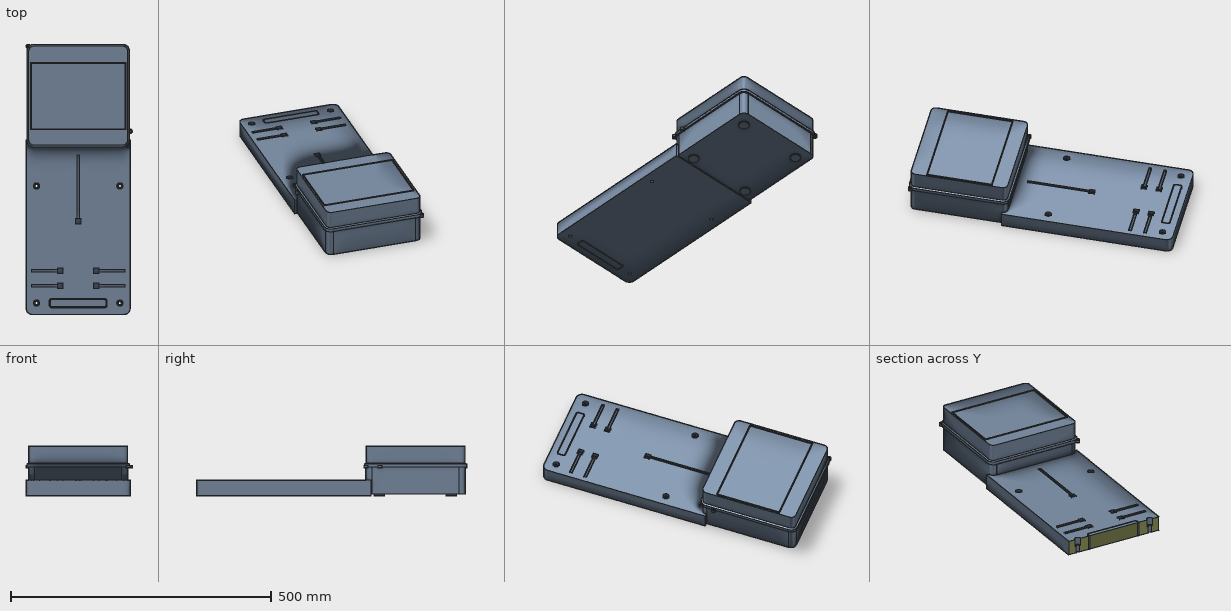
import cadquery as cq

BASE_WIDTH = 200.0
BASE_LENGTH = 335.0
BASE_HEIGHT = 30.0
BASE_CORNER_RADIUS = 12.0

MOUNT_INSET_X = 20.0
MOUNT_FRONT_Y = 22.0
MOUNT_SPACING_Y = 225.0
MOUNT_HOLE_DIAMETER = 6.0
MOUNT_BORE_DIAMETER = 12.0
MOUNT_BORE_DEPTH = 15.0

SLOT_WIDTH = 5.0
SLOT_HEAD = 10.5
SLOT_DEPTH = 4.0
SLOT_HEAD_DEPTH = 10.0
SIDE_SLOT_LENGTH = 60.0
SIDE_SLOT_INSET = 10.5
SIDE_SLOT_ROWS = (55.0, 84.5)
CENTER_SLOT_LENGTH = 132.0
CENTER_SLOT_FRONT_Y = 174.0

OPENING_LENGTH = 110.5
OPENING_WIDTH = 17.0
OPENING_CORNER_RADIUS = 4.5
OPENING_CENTER_Y = 22.0
INSERT_CLEARANCE = 1.5

HOUSING_SIZE = 190.0
HOUSING_CORNER_RADIUS = 9.5
HOUSING_CENTER_X = BASE_WIDTH / 2
HOUSING_CENTER_Y = 420.5
HOUSING_BOTTOM = 3.0
HOUSING_TOP = 95.4

PANEL_WIDTH = 167.0
PANEL_THICKNESS = 0.8

FOOT_DIAMETER = 20.5
FOOT_CENTERS_Y = (350.5, 489.0)
FOOT_INSET_X = 26.0

FLANGE_OVERHANG = 3.54
FLANGE_BOTTOM = 54.8
FLANGE_EDGE_TOP = 61.0
FLANGE_SLOPE_HEIGHT = 1.5

LUG_DIAMETER = 8.0
LUG_HOLE_DIAMETER = 3.0
LUG_BOTTOM = 53.5
LUG_TOP = 58.5
LUG_CENTERS = ((4.0, 515.0), (196.0, 325.0), (200.05, 352.0))

SCREEN_WIDTH = 183.0
SCREEN_LENGTH = 129.0
SCREEN_CENTER_Y = 419.5
SCREEN_GROOVE_WIDTH = 1.5
SCREEN_GROOVE_DEPTH = 1.0


def block(width, length, height, center_x, center_y, bottom):
    """Box centred in X and Y that stands on the given height."""
    solid = cq.Workplane("XY").box(width, length, height, centered=(True, True, False))
    return solid.translate((center_x, center_y, bottom))


def keyhole(length):
    """Slot cutter along +X from the origin, with the square head at its far end."""
    run = block(length, SLOT_WIDTH, SLOT_DEPTH, length / 2, 0, BASE_HEIGHT - SLOT_DEPTH)
    head = block(
        SLOT_HEAD, SLOT_HEAD, SLOT_HEAD_DEPTH,
        length - SLOT_HEAD / 2, 0, BASE_HEIGHT - SLOT_HEAD_DEPTH,
    )
    return run.union(head)


def make_base():
    base = block(BASE_WIDTH, BASE_LENGTH, BASE_HEIGHT, BASE_WIDTH / 2, BASE_LENGTH / 2, 0)
    base = base.edges("|Z and <Y").fillet(BASE_CORNER_RADIUS)

    mount_points = [
        (x, y)
        for x in (MOUNT_INSET_X, BASE_WIDTH - MOUNT_INSET_X)
        for y in (MOUNT_FRONT_Y, MOUNT_FRONT_Y + MOUNT_SPACING_Y)
    ]
    base = (
        base.faces(">Z")
        .workplane(origin=(0, 0, BASE_HEIGHT))
        .pushPoints(mount_points)
        .cboreHole(MOUNT_HOLE_DIAMETER, MOUNT_BORE_DIAMETER, MOUNT_BORE_DEPTH)
    )

    for y in SIDE_SLOT_ROWS:
        left_slot = keyhole(SIDE_SLOT_LENGTH).translate((SIDE_SLOT_INSET, y, 0))
        right_slot = left_slot.mirror("YZ", (BASE_WIDTH / 2, 0, 0))
        base = base.cut(left_slot).cut(right_slot)

    center_slot = keyhole(CENTER_SLOT_LENGTH).rotate((0, 0, 0), (0, 0, 1), -90)
    center_slot_rear_y = CENTER_SLOT_FRONT_Y + CENTER_SLOT_LENGTH
    base = base.cut(center_slot.translate((BASE_WIDTH / 2, center_slot_rear_y, 0)))

    return base.cut(opening_block(0))


def opening_block(clearance):
    """Rounded block that fills the opening in the base plate, less a clearance all round."""
    solid = block(
        OPENING_LENGTH - 2 * clearance, OPENING_WIDTH - 2 * clearance, BASE_HEIGHT,
        BASE_WIDTH / 2, OPENING_CENTER_Y, 0,
    )
    return solid.edges("|Z").fillet(OPENING_CORNER_RADIUS - clearance)


def make_insert():
    return opening_block(INSERT_CLEARANCE)


def housing_block(overhang, bottom, top):
    """Rounded square block on the axis of the housing, larger by the overhang all round."""
    size = HOUSING_SIZE + 2 * overhang
    solid = block(size, size, top - bottom, HOUSING_CENTER_X, HOUSING_CENTER_Y, bottom)
    return solid.edges("|Z").fillet(HOUSING_CORNER_RADIUS + overhang)


def make_flange():
    """Flange whose top slopes down to its outer edge."""
    flange = housing_block(FLANGE_OVERHANG, FLANGE_BOTTOM, FLANGE_EDGE_TOP + FLANGE_SLOPE_HEIGHT)
    return flange.faces(">Z").chamfer(FLANGE_SLOPE_HEIGHT, FLANGE_OVERHANG)


def make_panels():
    """Slabs through the lower housing that stand out at the front, the rear and the right side."""
    height = FLANGE_BOTTOM - HOUSING_BOTTOM
    reach = HOUSING_SIZE / 2 + PANEL_THICKNESS
    front_and_rear = block(
        PANEL_WIDTH, 2 * reach, height, HOUSING_CENTER_X, HOUSING_CENTER_Y, HOUSING_BOTTOM
    )
    right = block(
        reach, PANEL_WIDTH, height, HOUSING_CENTER_X + reach / 2, HOUSING_CENTER_Y, HOUSING_BOTTOM
    )
    return front_and_rear.union(right)


def make_feet():
    reach = HOUSING_SIZE / 2 - FOOT_INSET_X
    points = [(HOUSING_CENTER_X + side * reach, y) for side in (-1, 1) for y in FOOT_CENTERS_Y]
    return cq.Workplane("XY").pushPoints(points).circle(FOOT_DIAMETER / 2).extrude(HOUSING_BOTTOM)


def make_lug_cylinders(diameter, top):
    """One upright cylinder on each lug centre, from the underside of the lugs up to the given height."""
    points = cq.Workplane("XY", origin=(0, 0, LUG_BOTTOM)).pushPoints(LUG_CENTERS)
    return points.circle(diameter / 2).extrude(top - LUG_BOTTOM)


def make_screen_groove():
    """Cutter for the groove, measured to its outer edges."""
    floor = HOUSING_TOP - SCREEN_GROOVE_DEPTH
    outer = block(
        SCREEN_WIDTH, SCREEN_LENGTH, SCREEN_GROOVE_DEPTH, HOUSING_CENTER_X, SCREEN_CENTER_Y, floor
    )
    inner = block(
        SCREEN_WIDTH - 2 * SCREEN_GROOVE_WIDTH, SCREEN_LENGTH - 2 * SCREEN_GROOVE_WIDTH,
        SCREEN_GROOVE_DEPTH, HOUSING_CENTER_X, SCREEN_CENTER_Y, floor,
    )
    return outer.cut(inner)


def make_housing():
    housing = housing_block(0, HOUSING_BOTTOM, HOUSING_TOP).union(make_panels())

    step = block(2 * BASE_WIDTH, BASE_LENGTH, BASE_HEIGHT, BASE_WIDTH / 2, BASE_LENGTH / 2, 0)
    housing = housing.cut(step)

    housing = housing.union(make_flange()).union(make_feet())
    housing = housing.union(make_lug_cylinders(LUG_DIAMETER, LUG_TOP))
    housing = housing.cut(make_lug_cylinders(LUG_HOLE_DIAMETER, FLANGE_EDGE_TOP + FLANGE_SLOPE_HEIGHT))
    return housing.cut(make_screen_groove())


base = make_base()
insert = make_insert()
housing = make_housing()
result = cq.Compound.makeCompound([base.val(), insert.val(), housing.val()])